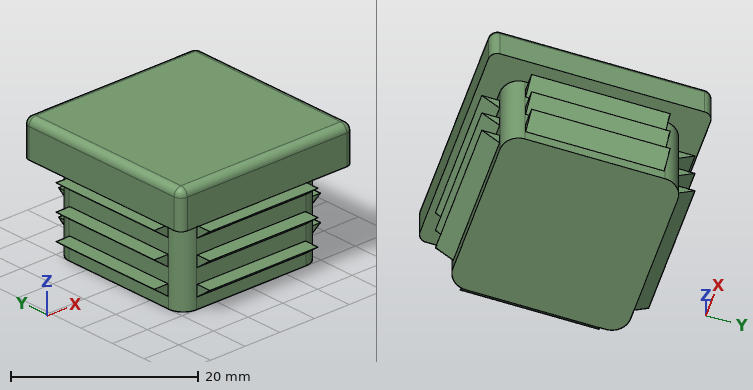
import cadquery as cq

cap_side = 25
cap_height = 5
cap_radius = 1

plug_side = 20
plug_height = 11.5
plug_corner_radius = 2.1

fin_length = 15.6
fin_reach = 2
fin_depth = 1.5
lowest_fin_top = 3
fin_pitch = 3.5
fins_per_side = 3


def make_cap():
    """Square cap with rounded corners and a rounded upper rim."""
    cap = cq.Workplane("XY").workplane(offset=plug_height).rect(cap_side, cap_side).extrude(cap_height)
    return cap.edges("|Z or >Z").fillet(cap_radius)


def make_plug():
    """Solid square plug with rounded corners, standing on Z = 0."""
    plug = cq.Workplane("XY").rect(plug_side, plug_side).extrude(plug_height)
    return plug.edges("|Z").fillet(plug_corner_radius)


def make_fin(top):
    """Triangular fin on the +X face of the plug."""
    face = plug_side / 2
    corners = [(0, top - fin_depth), (face, top - fin_depth), (face + fin_reach, top), (0, top)]
    return cq.Workplane("XZ").polyline(corners).close().extrude(fin_length / 2, both=True)


result = make_cap().union(make_plug())
for level in range(fins_per_side):
    fin = make_fin(lowest_fin_top + level * fin_pitch)
    for angle in (0, 90, 180, 270):
        result = result.union(fin.rotate((0, 0, 0), (0, 0, 1), angle))